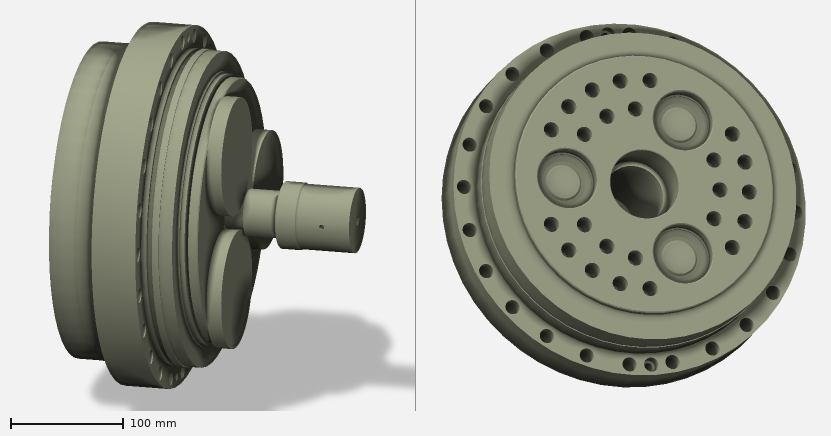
import cadquery as cq
import math


case_front = 6.2
case_shoulder = 31.5
flange_front = 51.0
flange_back = 91.3
case_groove_front = 96.2
case_groove_back = 101.0
case_rim_end = 107.2
case_back = 119.5
seal_step = 121.5
seal_back = 125.8
carrier_groove_back = 128.5
sun_front = 133.2
carrier_back = 137.0
gear_back = 150.8
shaft_front = 152.5
collar_front = 184.3
collar_back = 203.8
shaft_end = 252.5

flange_radius = 162.5
case_rim_radius = 142.5
case_radius = 141.7
case_back_radius = 141.5
case_groove_radius = 139.5
seal_flange_radius = 123.8
seal_radius = 122.0
carrier_groove_radius = 110.5
carrier_radius = 119.0
edge_chamfer = 1.0

flange_hole_count = 24
flange_hole_circle = 152.8
flange_hole_diameter = 13
flange_hole_pitch = 360 / flange_hole_count
jack_hole_diameter = 8.0
jack_counterbore_diameter = 13
jack_counterbore_depth = 9.8
jack_hole_angles = [90 + flange_hole_pitch / 2, 270 + flange_hole_pitch / 2]

group_angles = [0, 120, 240]
dowel_group_angle = 240
face_hole_diameter = 14.0
face_hole_depth = 29.2
drill_point_angle = 118
outer_row_circle = 96.5
outer_row_pitch = 16.5
outer_row_side_count = 2
inner_row_circle = 69.5
inner_row_pitch = 23
inner_row_side_count = 1

bore_diameter = 64.5
bore_depth = 38.5
bore_back_diameter = 55.0
bore_chamfer = 0.5

planet_angles = [60, 180, 300]
planet_circle = 71.2
planet_radius = 53.3
pocket_radius = 27.3
pocket_chamfer = 1.0
pocket_depth = 12.0
ring_radius = 25.7
ring_thickness = 1.0
cone_floor_radius = 19.8
cone_depth = 1.5
plug_radius = 16.5
plug_top_radius = 15.0
plug_height = 1.5

sun_radius = 18.5
sun_tip_radius = 15.0
sun_tip_cone = 1.3
shaft_radius = 21.0
collar_radius = 30.2
tail_radius = 29.2
shaft_hole_diameter = 8.8
pin_hole_diameter = 5.0
pin_hole_station = 227.2


def disc(front, back, radius):
    """A cylinder on the X axis between two stations."""
    return cq.Workplane("YZ", origin=(front, 0, 0)).circle(radius).extrude(back - front)


def turned(profile):
    """Revolve a closed profile of (station, radius) points around the X axis."""
    return cq.Workplane("XY").polyline(profile).close().revolve(360, (0, 0, 0), (1, 0, 0))


def placed(shape, circle_radius, angle):
    """Move a shape off the X axis; the angle runs from -Y towards +Z."""
    across = -circle_radius * math.cos(math.radians(angle))
    up = circle_radius * math.sin(math.radians(angle))
    return shape.translate((0, across, up))


def make_case():
    """The flanged case with its seal grooves and rear seal seat."""
    case = disc(case_front, case_shoulder, case_radius)
    case = case.union(disc(case_shoulder, flange_front, case_rim_radius))
    case = case.union(disc(flange_front, flange_back, flange_radius))
    case = case.union(disc(flange_back, case_groove_front, case_rim_radius))
    case = case.union(disc(case_groove_front, case_groove_back, case_groove_radius))
    case = case.union(disc(case_groove_back, case_rim_end, case_rim_radius))
    case = case.union(disc(case_rim_end, case_back, case_back_radius))
    case = case.union(disc(case_back, seal_step, seal_flange_radius))
    return case.union(disc(seal_step, seal_back, seal_radius))


def make_carrier():
    """The chamfered carrier plates at both ends, with a groove before the rear one."""
    front_plate = disc(0, case_front, carrier_radius).faces("<X").chamfer(edge_chamfer)
    groove = disc(seal_back, carrier_groove_back, carrier_groove_radius)
    back_plate = disc(carrier_groove_back, carrier_back, carrier_radius)
    back_plate = back_plate.faces(">X").chamfer(edge_chamfer)
    return front_plate.union(groove).union(back_plate)


def cut_flange_holes(body):
    """A full circle of bolt holes and two counterbored jack holes through the flange."""
    hole = disc(flange_front, flange_back, flange_hole_diameter / 2)
    for index in range(flange_hole_count):
        body = body.cut(placed(hole, flange_hole_circle, index * flange_hole_pitch))

    jack_hole = disc(flange_front, flange_back, jack_hole_diameter / 2)
    counterbore_end = flange_front + jack_counterbore_depth
    jack_hole = jack_hole.union(disc(flange_front, counterbore_end, jack_counterbore_diameter / 2))
    for angle in jack_hole_angles:
        body = body.cut(placed(jack_hole, flange_hole_circle, angle))
    return body


def cut_hole_row(body, circle_radius, pitch, side_count):
    """One row of blind face holes per group; the middle one of the dowel group is flat-bottomed."""
    radius = face_hole_diameter / 2
    point_depth = radius / math.tan(math.radians(drill_point_angle / 2))
    flat_hole = disc(0, face_hole_depth, radius)
    drilled_hole = turned([
        (0, 0),
        (0, radius),
        (face_hole_depth, radius),
        (face_hole_depth + point_depth, 0),
    ])
    for group_angle in group_angles:
        for step in range(-side_count, side_count + 1):
            is_dowel = group_angle == dowel_group_angle and step == 0
            hole = flat_hole if is_dowel else drilled_hole
            body = body.cut(placed(hole, circle_radius, group_angle + step * pitch))
    return body


def cut_bore(body):
    """A chamfered bore that steps down to a smaller one open at the back of the carrier."""
    radius = bore_diameter / 2
    bore = turned([
        (0, 0),
        (0, radius),
        (bore_chamfer, radius - bore_chamfer),
        (bore_depth, radius - bore_chamfer),
        (bore_depth, bore_back_diameter / 2),
        (carrier_back, bore_back_diameter / 2),
        (carrier_back, 0),
    ])
    return body.cut(bore)


def cut_bearing_pockets(body):
    """Pockets with a retaining ring step, a shallow conical floor and a raised central plug."""
    cone_front = pocket_depth + ring_thickness
    floor = cone_front + cone_depth
    pocket = turned([
        (0, 0),
        (0, pocket_radius + pocket_chamfer),
        (pocket_chamfer, pocket_radius),
        (pocket_depth, pocket_radius),
        (pocket_depth, ring_radius),
        (cone_front, ring_radius),
        (floor, cone_floor_radius),
        (floor, plug_radius),
        (floor - plug_height, plug_top_radius),
        (floor - plug_height, 0),
    ])
    for angle in planet_angles:
        body = body.cut(placed(pocket, planet_circle, angle))
    return body


def add_planets(body):
    """Three planet gear discs on the back of the carrier."""
    planet = disc(carrier_back, gear_back, planet_radius)
    for angle in planet_angles:
        body = body.union(placed(planet, planet_circle, angle))
    return body


def make_shaft():
    """The sun gear with a conical tip, then the shaft, its collar and its tail."""
    shaft = turned([
        (sun_front, 0),
        (sun_front, sun_tip_radius),
        (sun_front + sun_tip_cone, sun_radius),
        (shaft_front, sun_radius),
        (shaft_front, 0),
    ])
    shaft = shaft.union(disc(shaft_front, collar_front, shaft_radius))
    collar = disc(collar_front, collar_back, collar_radius).faces("<X or >X").chamfer(edge_chamfer)
    shaft = shaft.union(collar)
    return shaft.union(disc(collar_back, shaft_end, tail_radius))


def cut_shaft_holes(body):
    """A through hole on the axis and a pin hole that reaches it from the -Y side."""
    body = body.cut(disc(sun_front, shaft_end, shaft_hole_diameter / 2))
    pin_plane = cq.Workplane("XZ", origin=(pin_hole_station, 0, 0))
    return body.cut(pin_plane.circle(pin_hole_diameter / 2).extrude(collar_radius))


reducer = make_case().union(make_carrier())
reducer = cut_flange_holes(reducer)
reducer = cut_hole_row(reducer, outer_row_circle, outer_row_pitch, outer_row_side_count)
reducer = cut_hole_row(reducer, inner_row_circle, inner_row_pitch, inner_row_side_count)
reducer = cut_bore(reducer)
reducer = cut_bearing_pockets(reducer)
reducer = add_planets(reducer)
reducer = reducer.union(make_shaft())
result = cut_shaft_holes(reducer)